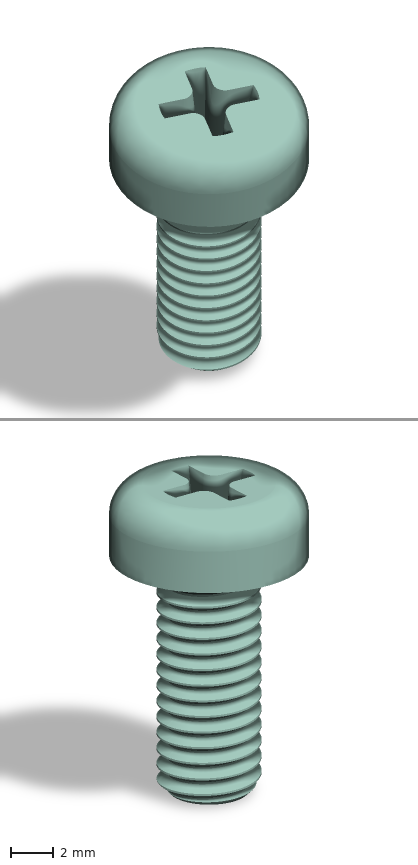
import cadquery as cq
import math

total_length = 15.7
head_diameter = 9.5
head_height = 3.69
head_rounding = 1.57
shank_length = total_length - head_height

major_diameter = 5.0
minor_diameter = 3.97
pitch = 0.8
crest_width = pitch / 8
flank_angle = math.radians(30)
tip_chamfer = 0.58
overrun_turns = 2
root_height_at_x = 0.22

recess_depth = 3.14
recess_top_radius = 2.4
recess_floor_radius = 1.5
arm_top_width = 1.04
arm_floor_width = 0.47
arm_corner_radius = 0.6


def make_head():
    """Cylindrical head with a rounded upper edge, standing on Z = 0."""
    head = cq.Workplane("XY").circle(head_diameter / 2).extrude(head_height)
    return head.faces(">Z").edges().fillet(head_rounding)


def make_thread():
    """Right-handed threaded rod, sewn from exact helical strips, longer than the shank.

    Each turn carries a root, lower flank, crest and upper flank strip. At both
    ends a helical floor and a radial wall reaching the axis close the rod.
    """
    major_radius = major_diameter / 2
    minor_radius = minor_diameter / 2
    flank_height = (major_radius - minor_radius) * math.tan(flank_angle)
    root_width = pitch - crest_width - 2 * flank_height
    turns = math.ceil(shank_length / pitch) + 2 * overrun_turns
    start = root_height_at_x - root_width / 2 - shank_length - overrun_turns * pitch

    profile = [
        (minor_radius, 0),
        (minor_radius, root_width),
        (major_radius, root_width + flank_height),
        (major_radius, root_width + flank_height + crest_width),
        (minor_radius, pitch),
    ]

    def helix(radius, height):
        return cq.Wire.makeHelix(pitch, pitch, radius, center=cq.Vector(0, 0, height)).Edges()[0]

    faces = []
    for turn in range(turns):
        base = start + turn * pitch
        strips = [helix(radius, base + height) for radius, height in profile]
        faces += [cq.Face.makeRuledSurface(low, high) for low, high in zip(strips, strips[1:])]

    for base in (start, start + turns * pitch):
        bottom = cq.Vector(0, 0, base)
        top = cq.Vector(0, 0, base + pitch)
        faces.append(cq.Face.makeRuledSurface(cq.Edge.makeLine(bottom, top), helix(minor_radius, base)))
        rim = [cq.Vector(radius, 0, base + height) for radius, height in profile]
        wall = cq.Wire.makePolygon([bottom] + rim + [top], close=True)
        faces.append(cq.Face.makeFromWires(wall))

    return cq.Workplane(cq.Solid.makeSolid(cq.Shell.makeShell(faces)))


def make_shank():
    """Threaded shank hanging below Z = 0, chamfered at 45 degrees at its tip."""
    clearance = 0.15
    envelope = cq.Workplane("XY").circle(major_diameter / 2 + clearance).extrude(-shank_length)
    envelope = envelope.faces("<Z").edges().chamfer(tip_chamfer + clearance)
    return make_thread().intersect(envelope)


def make_recess():
    """Drafted cross with rounded inner corners, its arm ends cut to a cone."""

    def turned(quarter, x, y):
        """Point turned about the axis by a number of quarter turns."""
        for _ in range(quarter):
            x, y = -y, x
        return (x, y)

    half_arm = arm_top_width / 2
    tangent = half_arm + arm_corner_radius
    reach = head_diameter / 2
    outline = cq.Workplane("XY", origin=(0, 0, head_height)).moveTo(reach, half_arm)
    midpoint = tangent - arm_corner_radius * math.sqrt(0.5)
    for quarter in range(4):
        outline = outline.lineTo(*turned(quarter, tangent, half_arm))
        outline = outline.threePointArc(
            turned(quarter, midpoint, midpoint),
            turned(quarter, half_arm, tangent),
        )
        outline = outline.lineTo(*turned(quarter, half_arm, reach))
        outline = outline.lineTo(*turned(quarter, -half_arm, reach))
    draft = math.degrees(math.atan((arm_top_width - arm_floor_width) / 2 / recess_depth))
    cross = outline.close().extrude(-recess_depth, taper=draft)
    cone = cq.Workplane(
        cq.Solid.makeCone(
            recess_floor_radius,
            recess_top_radius,
            recess_depth,
            pnt=cq.Vector(0, 0, head_height - recess_depth),
        )
    )
    return cross.intersect(cone)


result = make_head().union(make_shank()).cut(make_recess())